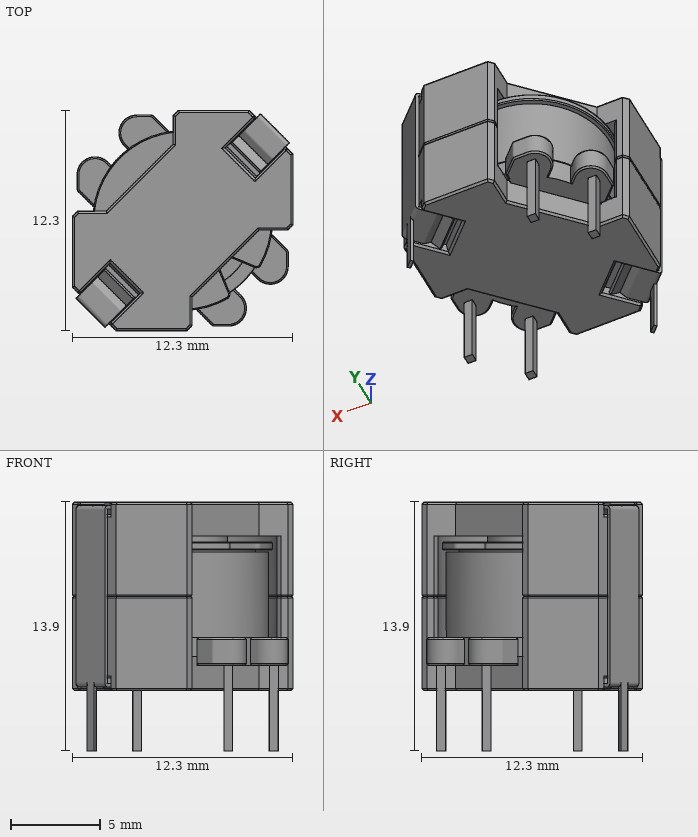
import cadquery as cq
import math

ROOT2 = math.sqrt(2)
CORE_ANGLE = 45
CLIP_ANGLES = (CORE_ANGLE, CORE_ANGLE + 180)
TOLERANCE = 0.001

core_width = 12.3
core_height = 10.51
half_height = core_height / 2
waist_half = 3.39
corner_half = 6.97
lobe_overlap = 0.53
lobe_chamfer = 0.29
edge_chamfer = 0.12
joint_chamfer = 0.08

cavity_radius = 5.26
cavity_bottom = 1.9
window_width = 7.0
post_diameter = 5

slot_width = 2.37
slot_depth = 0.7
slot_draft = math.radians(12)
slot_back = 4.51

clip_width = 2.28
clip_thickness = 0.2
clip_outer = 7.27
clip_bend = 0.25
clip_inset = 0.2
hook_bend = 5.97
hook_valley = 5.57
hook_tip = 5.04
hook_slope = math.radians(36)
clip_pin_width = 0.54

base_bottom = 1.4
base_top = 2.95
base_radius = 4.75
base_clearance = 0.26
flange_radius = 5.01
flange_bottom = 7.83
flange_top = 8.29
flange_chamfer = 0.07
bobbin_bore = 5.5
tube_diameter = 8.13
notch_inner = 2.78
notch_inner_half = 0.21
notch_outer_half = 1.12
notch_round = 0.28

winding_diameter = 9.59
winding_top = 7.73
winding_round = 0.049

pin_pitch = 5.08
pin_width = 0.5
overall_height = 13.88
pin_bottom = core_height - overall_height
tab_radius = 1.0
tab_center = 4.89
tab_spread = 2.55
tab_side = 2.97
tab_inner_edge = 0.79
tab_corner_round = 0.21
tab_chamfer = 0.1


def disc(diameter, bottom, top):
    return cq.Workplane("XY").workplane(offset=bottom).circle(diameter / 2).extrude(top - bottom)


def box(x_range, width, z_range):
    """Box over x_range and z_range, centred on Y = 0."""
    x_size = x_range[1] - x_range[0]
    z_size = z_range[1] - z_range[0]
    return (
        cq.Workplane("XY")
        .box(x_size, width, z_size, centered=(False, True, False))
        .translate((x_range[0], 0, z_range[0]))
    )


def turn(shape, angle):
    return shape.rotate((0, 0, 0), (0, 0, 1), angle)


def core_outline():
    """Outline with a lobe at each end; the second half is the first turned by 180 degrees."""
    side = core_width / 2
    waist = waist_half * ROOT2 - lobe_overlap
    corner = corner_half * ROOT2 - side
    half = [
        (waist, -lobe_overlap),
        (side - lobe_chamfer, -lobe_overlap),
        (side, lobe_chamfer - lobe_overlap),
        (side, corner),
        (corner, side),
        (lobe_chamfer - lobe_overlap, side),
        (-lobe_overlap, side - lobe_chamfer),
        (-lobe_overlap, waist),
    ]
    return half + [(-x, -y) for x, y in half]


def is_slot_mouth(edge):
    """True for the edges where a clip slot opens through a corner flat of the upper half."""
    center = edge.Center()
    along = abs(center.x + center.y) / ROOT2
    across = abs(center.x - center.y) / ROOT2
    on_flat = abs(along - corner_half) < TOLERANCE
    beside_slot = across < slot_width / 2 + TOLERANCE
    in_depth = half_height - slot_depth - TOLERANCE < center.z < half_height - TOLERANCE
    return on_flat and beside_slot and in_depth


def core_half():
    """Upper core half, standing on Z = 0."""
    half = cq.Workplane("XY").polyline(core_outline()).close().extrude(half_height)
    slot_floor = half_height - slot_depth
    slot = (
        cq.Workplane("XZ")
        .moveTo(slot_back, half_height)
        .lineTo(slot_back + slot_depth * math.tan(slot_draft), slot_floor)
        .lineTo(core_width, slot_floor)
        .lineTo(core_width, half_height)
        .close()
        .extrude(slot_width / 2, both=True)
    )
    for angle in CLIP_ANGLES:
        half = half.cut(turn(slot, angle))
    mouth_edges = [e for e in half.edges().vals() if is_slot_mouth(e)]
    half = half.faces(">Z").edges().add(cq.Workplane().newObject(mouth_edges)).chamfer(edge_chamfer)
    cavity_depth = half_height - cavity_bottom
    cavity = disc(2 * cavity_radius, 0, cavity_depth)
    window = box((-window_width / 2, window_width / 2), core_width, (0, cavity_depth))
    half = half.cut(cavity).cut(turn(window, CORE_ANGLE))
    half = half.faces("<Z").edges().chamfer(joint_chamfer)
    return half.union(disc(post_diameter, 0, cavity_depth))


def core():
    upper = core_half()
    return upper.union(upper.mirror("XY")).translate((0, 0, half_height))


def clip_hook():
    """Upper half of a clip: the upright strip, the rounded bend and the V-shaped hook."""
    top = core_height - clip_inset
    bottom = top - clip_thickness
    inner = clip_outer - clip_thickness
    slope = math.tan(hook_slope)
    slant = clip_thickness / math.cos(hook_slope)
    shift = clip_thickness * math.tan(hook_slope / 2)
    bend_end = (
        hook_bend + shift - clip_thickness * math.sin(hook_slope),
        bottom + clip_thickness * math.cos(hook_slope),
    )
    valley = top - (hook_bend - hook_valley) * slope
    tip = valley + (hook_valley - hook_tip) * slope
    tip_foot = (hook_tip - clip_thickness * math.sin(hook_slope), tip - clip_thickness * math.cos(hook_slope))
    return (
        cq.Workplane("XZ")
        .moveTo(clip_outer, half_height)
        .lineTo(clip_outer, top - clip_bend)
        .radiusArc((clip_outer - clip_bend, top), -clip_bend)
        .lineTo(hook_bend + shift, top)
        .radiusArc(bend_end, -clip_thickness)
        .lineTo(hook_valley, valley)
        .lineTo(hook_tip, tip)
        .lineTo(*tip_foot)
        .lineTo(hook_valley, valley - slant)
        .lineTo(hook_bend + shift, bottom)
        .lineTo(clip_outer - clip_bend, bottom)
        .radiusArc((inner, top - clip_bend), clip_bend - clip_thickness)
        .lineTo(inner, half_height)
        .close()
        .extrude(clip_width / 2, both=True)
    )


def clip():
    """Spring clip with a hook at each end and an earth pin below."""
    hook = clip_hook()
    lower_hook = hook.mirror("XY", (0, 0, half_height))
    pin = box((clip_outer - clip_thickness, clip_outer), clip_pin_width, (pin_bottom, half_height))
    return hook.union(lower_hook).union(pin)


def flange():
    """Upper bobbin flange with a wire notch on one side."""
    notch = (
        cq.Workplane("XY")
        .workplane(offset=flange_bottom)
        .polyline([
            (-notch_inner_half, -notch_inner),
            (notch_inner_half, -notch_inner),
            (notch_outer_half, -flange_radius),
            (-notch_outer_half, -flange_radius),
        ])
        .close()
        .extrude(flange_top - flange_bottom)
    )
    plate = disc(2 * flange_radius, flange_bottom, flange_top).cut(turn(notch, CORE_ANGLE))
    plate = plate.edges("|Z").edges(">X or <Y").fillet(notch_round)
    return plate.faces("|Z").edges().chamfer(flange_chamfer)


def tab():
    """Terminal tab on the +X, -Y side: one straight side, one flat end and a rounded corner."""
    end = -tab_center - tab_radius
    corner = (-tab_side * ROOT2 - end, end)

    def on_round(angle):
        turned = math.radians(angle)
        return tab_spread + tab_radius * math.cos(turned), -tab_center + tab_radius * math.sin(turned)

    arc_start, arc_end = -90, CORE_ANGLE
    return (
        cq.Workplane("XY")
        .workplane(offset=base_bottom)
        .moveTo(*corner)
        .lineTo(*on_round(arc_start))
        .threePointArc(on_round((arc_start + arc_end) / 2), on_round(arc_end))
        .lineTo(tab_inner_edge, sum(on_round(arc_end)) - tab_inner_edge)
        .lineTo(tab_inner_edge, -tab_side * ROOT2 - tab_inner_edge)
        .close()
        .extrude(base_top - base_bottom)
        .edges(cq.selectors.NearestToPointSelector((*corner, (base_bottom + base_top) / 2)))
        .fillet(tab_corner_round)
        .faces("|Z")
        .edges()
        .chamfer(tab_chamfer)
    )


def base():
    """Lower bobbin flange with its four tabs, cleared around the core below the windows."""
    first = tab()
    pair = first.union(first.mirror(cq.Vector(1, 1, 0)))
    plate = disc(2 * base_radius, base_bottom, base_top).union(pair).union(turn(pair, 180))
    floor = (
        cq.Workplane("XY")
        .polyline(core_outline())
        .close()
        .offset2D(base_clearance, "intersection")
        .extrude(cavity_bottom)
    )
    return plate.cut(floor)


def bobbin():
    tube = disc(tube_diameter, cavity_bottom, flange_bottom)
    bore = disc(bobbin_bore, cavity_bottom, flange_top)
    return flange().union(tube).union(base()).cut(bore)


def winding():
    coil = disc(winding_diameter, base_top, winding_top)
    return coil.faces(">Z").edges().fillet(winding_round).cut(disc(tube_diameter, base_top, winding_top))


def bobbin_pins():
    near = pin_pitch / 2
    corners = [(near, -pin_pitch), (pin_pitch, -near), (-near, pin_pitch), (-pin_pitch, near)]
    return (
        cq.Workplane("XY")
        .workplane(offset=pin_bottom)
        .pushPoints(corners)
        .rect(pin_width, pin_width)
        .extrude(base_top - tab_chamfer - pin_bottom)
    )


result = core().union(bobbin()).union(winding()).union(bobbin_pins())
for angle in CLIP_ANGLES:
    result = result.union(turn(clip(), angle))